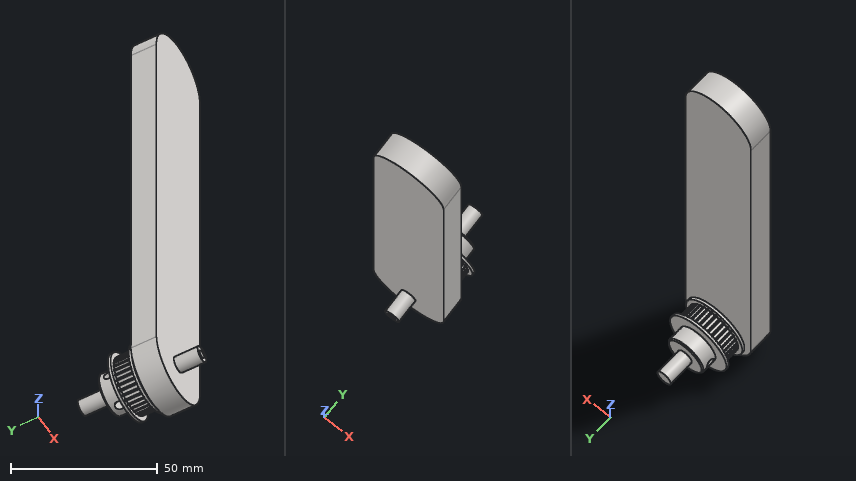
import cadquery as cq
import math

arm_height = 190.0
arm_half_width = 15.0
arm_thickness = 10.0
lower_arc_drop = 0.8
lower_radius = math.hypot(arm_half_width, lower_arc_drop)
arm_bottom = -lower_radius
arm_top = arm_bottom + arm_height

shaft_radius = 3.0
shaft_length = 47.1
shaft_front_reach = 9.3
shaft_front = -arm_thickness - shaft_front_reach
shaft_hole_radius = 1.5
shaft_hole_depth = 10.0

boss_radius = 6.5
boss_length = 1.0
flange_radius = 13.0
flange_thickness = 1.1
drum_radius = 11.0
drum_length = 7.0
hub_radius = 8.0
hub_length = 6.6
hub_chamfer = 0.48
front_flange_y = boss_length
drum_y = front_flange_y + flange_thickness
back_flange_y = drum_y + drum_length
hub_y = back_flange_y + flange_thickness

tooth_count = 36
groove_radius = 0.66
groove_depth = 0.85

set_screw_radius = 1.7
set_screw_y = hub_y + 2.7


def cylinder_along_y(radius, start, length):
    """Solid cylinder on the shaft axis, from y = start towards +Y."""
    base = cq.Plane(origin=(0, start, 0), xDir=(1, 0, 0), normal=(0, 1, 0))
    return cq.Workplane(base).circle(radius).extrude(length)


def make_arm():
    upper_arc_z = arm_top - arm_half_width
    return (
        cq.Workplane("XZ")
        .moveTo(-arm_half_width, -lower_arc_drop)
        .lineTo(-arm_half_width, upper_arc_z)
        .threePointArc((0, arm_top), (arm_half_width, upper_arc_z))
        .lineTo(arm_half_width, -lower_arc_drop)
        .threePointArc((0, arm_bottom), (-arm_half_width, -lower_arc_drop))
        .close()
        .extrude(arm_thickness)
    )


def make_drum():
    """Toothed drum, with a groove pointing along each of X and Z."""
    drum = cylinder_along_y(drum_radius, drum_y, drum_length)
    groove_center = drum_radius - groove_depth + groove_radius
    pitch_angle = 360 / tooth_count
    groove = cylinder_along_y(groove_radius, drum_y, drum_length).translate((0, 0, groove_center))
    for tooth in range(tooth_count):
        angle = tooth * pitch_angle
        drum = drum.cut(groove.rotate((0, 0, 0), (0, 1, 0), angle))
    return drum


def make_hub():
    """Hub with two set screw holes a quarter turn apart, towards -X and -Z."""
    hub = cylinder_along_y(hub_radius, hub_y, hub_length).faces(">Y").edges().chamfer(hub_chamfer)
    for direction in ((-1, 0, 0), (0, 0, -1)):
        hole = cq.Solid.makeCylinder(
            set_screw_radius, hub_radius, cq.Vector(0, set_screw_y, 0), cq.Vector(*direction)
        )
        hub = hub.cut(cq.Workplane(hole))
    return hub


def make_pulley():
    boss = cylinder_along_y(boss_radius, 0, boss_length)
    front_flange = cylinder_along_y(flange_radius, front_flange_y, flange_thickness)
    back_flange = cylinder_along_y(flange_radius, back_flange_y, flange_thickness)
    return boss.union(front_flange).union(make_drum()).union(back_flange).union(make_hub())


shaft = cylinder_along_y(shaft_radius, shaft_front, shaft_length)
shaft_hole = cylinder_along_y(shaft_hole_radius, shaft_front, shaft_hole_depth)

result = make_arm().union(make_pulley()).union(shaft).cut(shaft_hole)